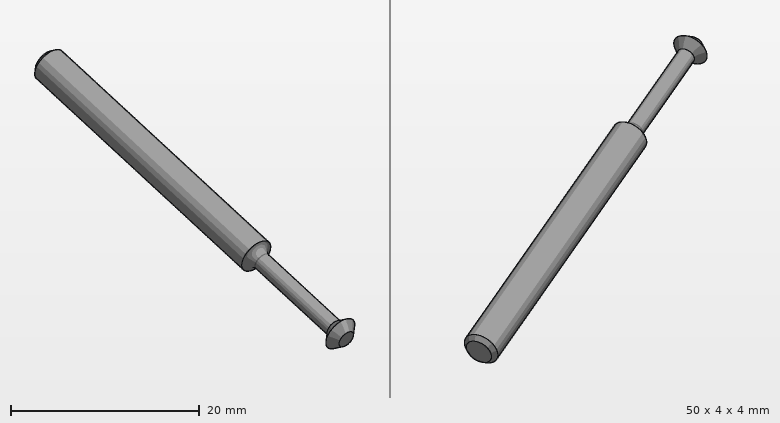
import cadquery as cq

total_length = 50.0
shank_length = 35.0
shank_radius = 2.0
shank_chamfer = 0.5
neck_radius = 1.0

head_radius = shank_radius
flank_length = head_radius - neck_radius
head_peak_x = total_length - flank_length
head_start_x = head_peak_x - flank_length

fillet_radius = shank_radius - neck_radius
fillet_end_x = shank_length + fillet_radius
fillet_offset = fillet_radius * (1 - 0.5 ** 0.5)
fillet_middle = (shank_length + fillet_offset, neck_radius + fillet_offset)

profile = (
    cq.Workplane("XY")
    .moveTo(0, 0)
    .lineTo(0, shank_radius - shank_chamfer)
    .lineTo(shank_chamfer, shank_radius)
    .lineTo(shank_length, shank_radius)
    .threePointArc(fillet_middle, (fillet_end_x, neck_radius))
    .lineTo(head_start_x, neck_radius)
    .lineTo(head_peak_x, head_radius)
    .lineTo(total_length, neck_radius)
    .lineTo(total_length, 0)
    .close()
)

result = profile.revolve(360, (0, 0, 0), (1, 0, 0))